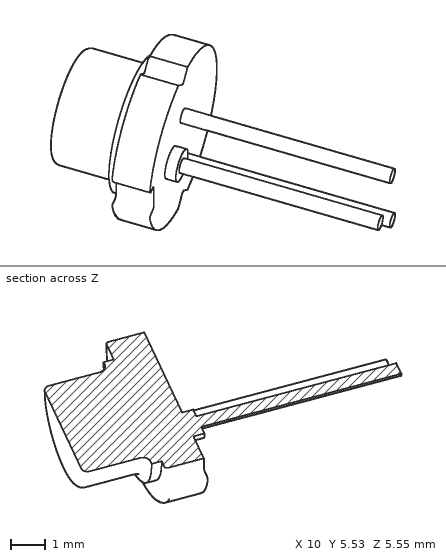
import cadquery as cq
import math


cap_radius = 1.77
cap_edge_radius = 0.2
flange_radius = 2.1
flange_front = 1.99
neck_radius = 0.23

base_radius = 2.8
base_front = 2.3
base_back = 3.5
base_edge_radius = 0.09

notch_floor = 2.4
notch_half_width = 0.5
notch_corner_radius = 0.1

groove_apex = 2.4
groove_root_radius = 0.1

total_length = 10.0
lead_diameter = 0.45
lead_offset = 1.0
stub_diameter = 1.0
stub_length = 0.34


def cylinder_along_x(x_start, x_end, radius, y=0, z=0):
    section = cq.Workplane("YZ", origin=(x_start, y, z)).circle(radius)
    return section.extrude(x_end - x_start)


def make_cap():
    """Revolve the cap and its flange, with a rounded rim and a concave neck."""
    diagonal = math.sqrt(0.5)
    rim_center_x = cap_edge_radius
    rim_center_r = cap_radius - cap_edge_radius
    neck_start = flange_front - neck_radius
    neck_center_r = cap_radius + neck_radius
    profile = (
        cq.Workplane("XY")
        .moveTo(0, 0)
        .lineTo(0, rim_center_r)
        .threePointArc(
            (rim_center_x - diagonal * cap_edge_radius, rim_center_r + diagonal * cap_edge_radius),
            (rim_center_x, cap_radius),
        )
        .lineTo(neck_start, cap_radius)
        .threePointArc(
            (neck_start + diagonal * neck_radius, neck_center_r - diagonal * neck_radius),
            (flange_front, neck_center_r),
        )
        .lineTo(flange_front, flange_radius)
        .lineTo(base_front, flange_radius)
        .lineTo(base_front, 0)
        .close()
    )
    return profile.revolve(360, (0, 0, 0), (1, 0, 0))


def make_groove(side):
    """V-shaped cutter with a rounded root; side is +1 at the top, -1 at the bottom."""
    half_width = base_radius - groove_apex
    thickness = base_back - base_front
    return (
        cq.Workplane("YZ", origin=(base_front, 0, 0))
        .polyline([
            (0, side * groove_apex),
            (half_width, side * base_radius),
            (-half_width, side * base_radius),
        ])
        .close()
        .extrude(thickness)
        .edges("|X")
        .edges("<Z" if side > 0 else ">Z")
        .fillet(groove_root_radius)
    )


def make_base():
    """Disc with a rounded notch, a rounded front edge and two V grooves."""
    disc = cylinder_along_x(base_front, base_back, base_radius)
    notch_depth = base_radius - notch_floor
    notch = cq.Workplane("XY").box(
        base_back - base_front, notch_depth, 2 * notch_half_width
    ).translate(((base_front + base_back) / 2, -notch_floor - notch_depth / 2, 0))
    half_height = notch_half_width + notch_corner_radius
    notch_zone = cq.selectors.BoxSelector(
        (base_front, -base_radius, -half_height),
        (base_back, -notch_floor + notch_corner_radius, half_height),
    )
    base = disc.cut(notch).edges("|X").edges(notch_zone).fillet(notch_corner_radius)
    base = base.faces("<X").edges().fillet(base_edge_radius)
    for side in (1, -1):
        base = base.cut(make_groove(side))
    return base


def add_leads(body):
    """Add three leads, the one at -Y rising from a wider stub."""
    stub_end = base_back + stub_length
    body = body.union(cylinder_along_x(base_back, stub_end, stub_diameter / 2, y=-lead_offset))
    for y, z in ((0, lead_offset), (0, -lead_offset), (-lead_offset, 0)):
        body = body.union(cylinder_along_x(base_back, total_length, lead_diameter / 2, y, z))
    return body


result = add_leads(make_base().union(make_cap()))